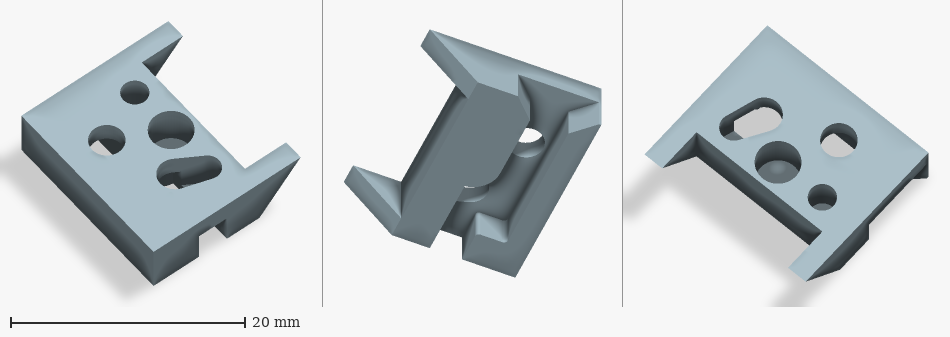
import cadquery as cq
import math

WIDTH = 18.2
LENGTH = 16.0
HEIGHT = 5.0
HALF_WIDTH = WIDTH / 2

ARM_WIDTH = 2.0
ARM_LENGTH = 4.48
NOTCH_Y = LENGTH - ARM_LENGTH

SWITCH_Y = 9.1
CENTRE_DIAMETER = 4.0
SIDE_DIAMETER = 2.5
PIN_DIAMETER = 3.2
SIDE_X = 5.0
HOLE_DEPTH = 4.0
LEFT_PIN_X = -2.56
LEFT_PIN_SETBACK = 4.97
RIGHT_PIN_X = 3.83
RIGHT_PIN_SETBACK = 2.6
SWITCH_CENTRE = (0, SWITCH_Y)
LEFT_PIN = (LEFT_PIN_X, SWITCH_Y - LEFT_PIN_SETBACK)
RIGHT_PIN = (RIGHT_PIN_X, SWITCH_Y - RIGHT_PIN_SETBACK)
SIDE_LEFT = (-SIDE_X, SWITCH_Y)
SIDE_RIGHT = (SIDE_X, SWITCH_Y)

POCKET_DEPTH = 3.0
POCKET_FRONT_Y = 2.2
POCKET_LEFT_REAR_Y = 5.77
POCKET_RIGHT_FRONT_Y = 4.96
POCKET_REAR_Y = 7.97
FLARE = 2.0
STEP_START_X = -0.78
STEP_RADIUS = 2.5
RIGHT_WALL_X = 6.0
INNER_RADIUS = 0.37
OUTER_RADIUS = 0.33


def make_body():
    """Side profile with the sloping rear, extruded across the width and notched."""
    profile = [(0, 0), (NOTCH_Y, 0), (LENGTH, HEIGHT), (0, HEIGHT)]
    body = cq.Workplane("YZ").polyline(profile).close().extrude(HALF_WIDTH, both=True)
    notch = cq.Workplane("XY").box(
        WIDTH - 2 * ARM_WIDTH, ARM_LENGTH, HEIGHT, centered=(True, False, False)
    )
    return body.cut(notch.translate((0, NOTCH_Y, 0)))


def make_pocket():
    """Stepped socket pocket with a flared mouth on the left side."""
    flare_x = -HALF_WIDTH + FLARE
    diagonal = math.sqrt(0.5)
    step_sweep = math.acos(1 - (POCKET_REAR_Y - POCKET_LEFT_REAR_Y) / STEP_RADIUS)

    def step_point(angle):
        return (
            STEP_START_X + STEP_RADIUS * math.sin(angle),
            POCKET_LEFT_REAR_Y + STEP_RADIUS * (1 - math.cos(angle)),
        )

    inner_centre = (RIGHT_WALL_X - INNER_RADIUS, POCKET_FRONT_Y + INNER_RADIUS)
    outer_centre = (RIGHT_WALL_X + OUTER_RADIUS, POCKET_RIGHT_FRONT_Y - OUTER_RADIUS)
    inner_mid = (
        inner_centre[0] + INNER_RADIUS * diagonal,
        inner_centre[1] - INNER_RADIUS * diagonal,
    )
    outer_mid = (
        outer_centre[0] - OUTER_RADIUS * diagonal,
        outer_centre[1] + OUTER_RADIUS * diagonal,
    )
    return (
        cq.Workplane("XY")
        .moveTo(-HALF_WIDTH, POCKET_FRONT_Y - FLARE)
        .lineTo(flare_x, POCKET_FRONT_Y)
        .lineTo(inner_centre[0], POCKET_FRONT_Y)
        .threePointArc(inner_mid, (RIGHT_WALL_X, inner_centre[1]))
        .lineTo(RIGHT_WALL_X, outer_centre[1])
        .threePointArc(outer_mid, (outer_centre[0], POCKET_RIGHT_FRONT_Y))
        .lineTo(HALF_WIDTH, POCKET_RIGHT_FRONT_Y)
        .lineTo(HALF_WIDTH, POCKET_REAR_Y)
        .lineTo(*step_point(step_sweep))
        .threePointArc(step_point(step_sweep / 2), step_point(0))
        .lineTo(flare_x, POCKET_LEFT_REAR_Y)
        .lineTo(-HALF_WIDTH, POCKET_LEFT_REAR_Y + FLARE)
        .close()
        .extrude(POCKET_DEPTH)
    )


def make_hole(centre, diameter):
    """Round cutter sunk from the top face."""
    top = cq.Workplane("XY", origin=(0, 0, HEIGHT))
    return top.center(*centre).circle(diameter / 2).extrude(-HOLE_DEPTH)


def make_tapered_slot(start, start_diameter, end, end_diameter):
    """Slot cutter wrapping two circles of different size with their common tangents."""
    start_radius = start_diameter / 2
    end_radius = end_diameter / 2
    run_x = end[0] - start[0]
    run_y = end[1] - start[1]
    axis_angle = math.atan2(run_y, run_x)
    tangent_angle = math.acos((start_radius - end_radius) / math.hypot(run_x, run_y))

    def rim(centre, radius, angle):
        return (centre[0] + radius * math.cos(angle), centre[1] + radius * math.sin(angle))

    left_angle = axis_angle + tangent_angle
    right_angle = axis_angle - tangent_angle
    return (
        cq.Workplane("XY", origin=(0, 0, HEIGHT))
        .moveTo(*rim(start, start_radius, right_angle))
        .lineTo(*rim(end, end_radius, right_angle))
        .threePointArc(rim(end, end_radius, axis_angle), rim(end, end_radius, left_angle))
        .lineTo(*rim(start, start_radius, left_angle))
        .threePointArc(
            rim(start, start_radius, axis_angle + math.pi),
            rim(start, start_radius, right_angle),
        )
        .close()
        .extrude(-HOLE_DEPTH)
    )


result = make_body().cut(make_pocket())
result = result.cut(make_hole(SWITCH_CENTRE, CENTRE_DIAMETER))
result = result.cut(make_hole(SIDE_LEFT, SIDE_DIAMETER))
result = result.cut(make_hole(LEFT_PIN, PIN_DIAMETER))
result = result.cut(make_tapered_slot(RIGHT_PIN, PIN_DIAMETER, SIDE_RIGHT, SIDE_DIAMETER))